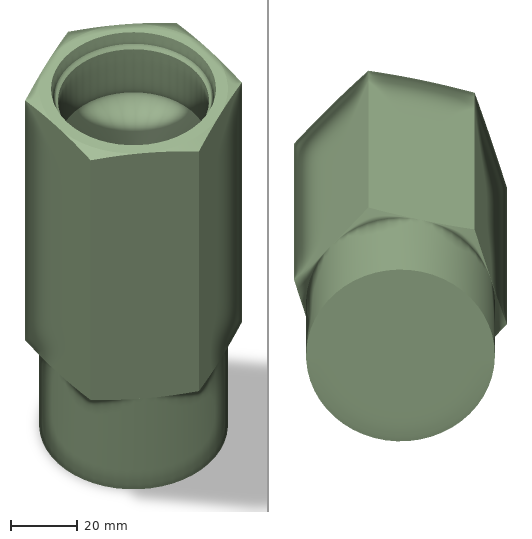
import cadquery as cq
import math

total_height = 139.57
across_flats = 57.15
collar_height = 37.6
collar_diameter = across_flats

side_count = 6
half_side_angle = 180.0 / side_count
chamfer_angle = 15.0

mouth_diameter = 49.9
mouth_floor_diameter = 48.2
mouth_depth = 4.0
seat_drop = 1.1
bore_diameter = 45.7
bore_depth = 23.0
drill_point_angle = 118.0

flat_radius = across_flats / 2
corner_radius = flat_radius / math.cos(math.radians(half_side_angle))
chamfer_drop = (corner_radius - flat_radius) * math.tan(math.radians(chamfer_angle))
bore_radius = bore_diameter / 2
mouth_floor_z = total_height - mouth_depth
bore_floor_z = total_height - bore_depth
cone_height = bore_radius / math.tan(math.radians(drill_point_angle / 2))


def revolve_profile(points):
    """Revolve a closed (radius, z) outline about the Z axis."""
    return cq.Workplane("XZ").polyline(points).close().revolve(360, (0, 0, 0), (0, 1, 0))


def hexagon_body():
    """Hexagonal prism with two corners on the Y axis and chamfered ends."""
    prism = (
        cq.Workplane("XY")
        .workplane(offset=collar_height)
        .polygon(side_count, 2 * corner_radius)
        .extrude(total_height - collar_height)
        .rotate((0, 0, 0), (0, 0, 1), half_side_angle)
    )
    chamfer_envelope = revolve_profile([
        (0, collar_height),
        (flat_radius, collar_height),
        (corner_radius, collar_height + chamfer_drop),
        (corner_radius, total_height - chamfer_drop),
        (flat_radius, total_height),
        (0, total_height),
    ])
    return prism.intersect(chamfer_envelope)


def round_collar():
    """Plain cylinder below the hexagon."""
    return cq.Workplane("XY").circle(collar_diameter / 2).extrude(collar_height)


def stepped_bore():
    """Tapered mouth, conical seat, straight bore and conical bottom as one cutting solid."""
    return revolve_profile([
        (0, total_height),
        (mouth_diameter / 2, total_height),
        (mouth_floor_diameter / 2, mouth_floor_z),
        (bore_radius, mouth_floor_z - seat_drop),
        (bore_radius, bore_floor_z),
        (0, bore_floor_z - cone_height),
    ])


result = hexagon_body().union(round_collar()).cut(stepped_bore())